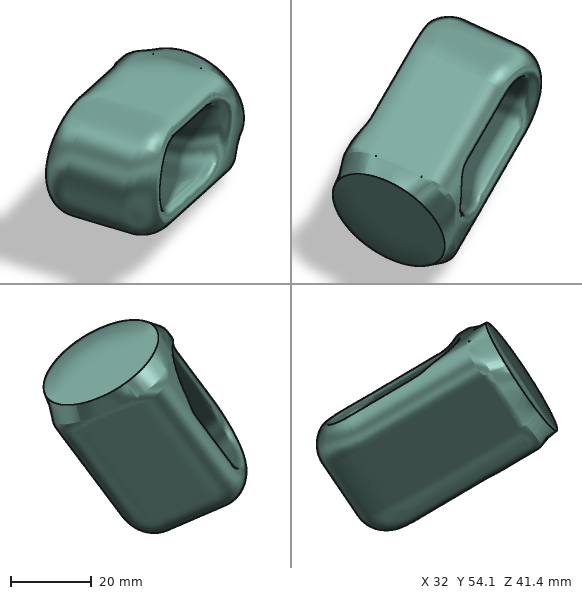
import cadquery as cq
import math

width = 32.0
edge_radius = 8.0
tilt = 15.0
foot_length = 5.0
axis_reach = 33.05

blend_radius = 3.0
blend_depth = 8.0
blend_gap = 0.5
crown_half_width = 6.5

eye_radius = 9.0
eye_spacing = 20.0
eye_slope = 25.0
eye_bend_radius = 20.0
eye_drop = 2.5
mouth_radius = 2.0

half = width / 2
nose_rise = axis_reach * math.tan(math.radians(tilt))
clearance = 4 * width
tolerance = 0.01


def make_bar():
    """Untilted link about its nose centre: round nose, rounded long edges, plain far end."""
    bar_length = axis_reach + width
    bar = (
        cq.Workplane("YZ")
        .moveTo(bar_length, half)
        .lineTo(0, half)
        .threePointArc((-half, 0), (0, -half))
        .lineTo(bar_length, -half)
        .close()
        .extrude(half, both=True)
    )
    return bar.faces("<X or >X").edges("not >Y").fillet(edge_radius)


def make_eye():
    """Obround swept across the bar along a slope, a bend and a mirrored slope."""
    slope = math.radians(eye_slope)
    bend_x = eye_bend_radius * math.sin(slope)
    bend_z = eye_bend_radius * (1 - math.cos(slope)) - eye_drop
    end_x = width
    end_z = bend_z + (end_x - bend_x) * math.tan(slope)
    path = (
        cq.Workplane("XZ")
        .moveTo(-end_x, end_z)
        .lineTo(-bend_x, bend_z)
        .threePointArc((0, -eye_drop), (bend_x, bend_z))
        .lineTo(end_x, end_z)
    )
    start = cq.Plane(
        origin=(-end_x, eye_spacing / 2, end_z),
        xDir=(0, 1, 0),
        normal=(math.cos(slope), 0, -math.sin(slope)),
    )
    return cq.Workplane(start).slot2D(eye_spacing + 2 * eye_radius, 2 * eye_radius).sweep(path)


def round_mouths(bar):
    """Round both mouths; each rounding follows its whole smooth rim from one picked edge."""
    for side in (-1, 1):
        lower_rim = cq.NearestToPointSelector((side * half, eye_spacing / 2, -half / 2))
        bar = bar.edges(lower_rim).fillet(mouth_radius)
    return bar


def make_link():
    """Bar with its eye, tilted into place and trimmed at the transition plane."""
    bar = round_mouths(make_bar().cut(make_eye()))
    tilted = bar.rotate((0, 0, 0), (1, 0, 0), -tilt)
    placed = tilted.translate((0, -foot_length - axis_reach, nose_rise))
    beyond = cq.Workplane("XY").box(clearance, clearance, clearance, centered=(True, False, True))
    return placed.cut(beyond.translate((0, -foot_length, 0)))


def make_foot(link):
    """Loft from the link's trimmed end to the round foot face at Y = 0."""
    link_end = link.faces(">Y").wires().val()
    foot_circle = cq.Wire.makeCircle(half, cq.Vector(0, 0, 0), cq.Vector(0, 1, 0))
    return cq.Workplane(cq.Solid.makeLoft([link_end, foot_circle]))


def blend_zone(x_min, x_max, z_min, z_max):
    """Block next to the foot face, within the given X and Z limits."""
    block = cq.Workplane("XY").box(x_max - x_min, blend_depth, z_max - z_min, centered=False)
    return block.translate((x_min, -blend_depth, z_min))


def in_transition_plane(edge):
    """True for an edge lying in the plane between foot and link."""
    box = edge.BoundingBox()
    return abs(box.ymin + foot_length) < tolerance and abs(box.ymax + foot_length) < tolerance


def on_zone_boundary(zone, edge):
    """True for an edge whose middle lies on one of the zone's faces."""
    middle = cq.Vertex.makeVertex(*edge.Center().toTuple())
    return any(face.distance(middle) < tolerance for face in zone.faces().vals())


def round_joint(body, zone):
    """Round the joint within one zone by swapping in a rounded copy of that piece."""
    piece = body.intersect(zone)
    joint_edges = [
        edge
        for edge in piece.edges().vals()
        if in_transition_plane(edge) and not on_zone_boundary(zone, edge)
    ]
    rounded = piece.newObject(joint_edges).fillet(blend_radius)
    return body.cut(zone).union(rounded)


link = make_link()
body = link.union(make_foot(link))

blend_zones = (
    blend_zone(-width, width, -width, -blend_gap),
    blend_zone(-width, -crown_half_width, blend_gap, width),
    blend_zone(crown_half_width, width, blend_gap, width),
)
for zone in blend_zones:
    body = round_joint(body, zone)

result = body.solids()